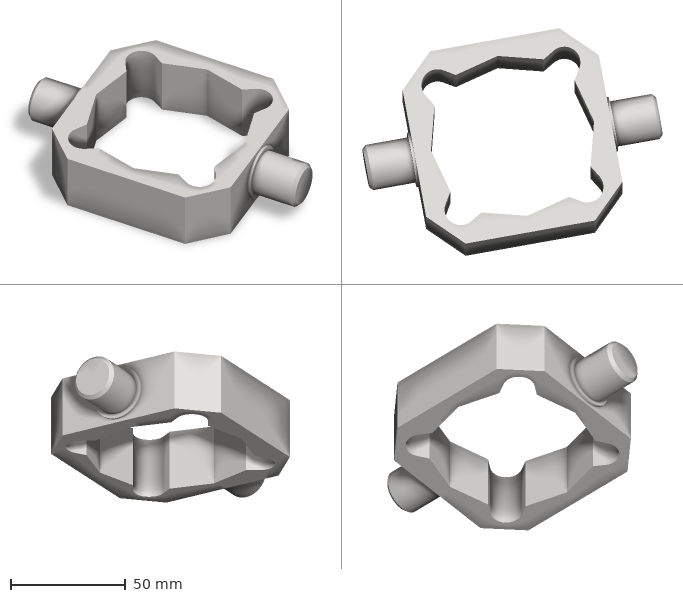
import cadquery as cq
import math

overall_length = 130.0
body_width = 87.0
body_height = 27.0
corner_cut = 14.8

peak_distance = 36.1
shoulder_offset = 19.5
shoulder_distance = 31.1
lobe_center = 28.1
lobe_radius = 7.0
flank_angle = math.radians(30)

collar_diameter = 24.0
collar_thickness = 1.2
pin_diameter = 20.0
pin_chamfer = 1.5


def make_body():
    """Square block with its four upright corners cut at 45 degrees."""
    block = cq.Workplane("XY").box(body_width, body_width, body_height)
    return block.edges("|Z").chamfer(corner_cut)


def rotate_quarters(point, quarters):
    """Turn a point clockwise about the origin by a number of quarter turns."""
    x, y = point
    for _ in range(quarters):
        x, y = y, -x
    return x, y


def make_opening():
    """Through opening whose outline repeats every quarter turn."""
    peak = (0, peak_distance)
    shoulder = (shoulder_offset, shoulder_distance)
    lobe_start = (
        lobe_center - lobe_radius * math.sin(flank_angle),
        lobe_center + lobe_radius * math.cos(flank_angle),
    )
    lobe_middle_coordinate = lobe_center + lobe_radius / math.sqrt(2)
    lobe_middle = (lobe_middle_coordinate, lobe_middle_coordinate)
    lobe_end = lobe_start[::-1]
    next_shoulder = shoulder[::-1]

    outline = cq.Workplane("XY").workplane(offset=-body_height / 2).moveTo(*peak)
    for quarter in range(4):
        if quarter > 0:
            outline = outline.lineTo(*rotate_quarters(peak, quarter))
        outline = outline.lineTo(*rotate_quarters(shoulder, quarter))
        outline = outline.lineTo(*rotate_quarters(lobe_start, quarter))
        outline = outline.threePointArc(
            rotate_quarters(lobe_middle, quarter),
            rotate_quarters(lobe_end, quarter),
        )
        outline = outline.lineTo(*rotate_quarters(next_shoulder, quarter))
    return outline.close().extrude(body_height)


def make_trunnion():
    """Collar and chamfered pin standing on the +X side of the body."""
    side = cq.Workplane("YZ").workplane(offset=body_width / 2)
    collar = side.circle(collar_diameter / 2).extrude(collar_thickness)
    pin_length = (overall_length - body_width) / 2
    pin = side.circle(pin_diameter / 2).extrude(pin_length)
    pin = pin.faces(">X").chamfer(pin_chamfer)
    return collar.union(pin)


body = make_body().cut(make_opening())
trunnion = make_trunnion()
result = body.union(trunnion).union(trunnion.mirror("YZ"))